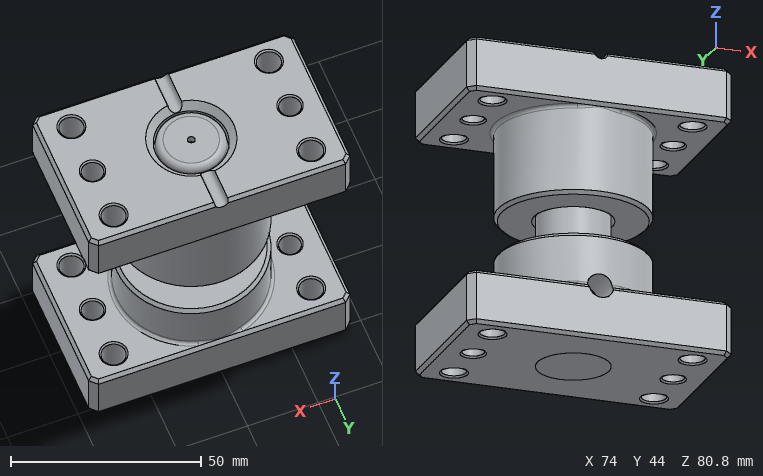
import cadquery as cq

plate_length = 74.0
plate_width = 44.0
plate_thickness = 15.0
total_height = 80.8
corner_chamfer = 2.0
edge_chamfer = 1.0

boss_diameter = 41.95
boss_fillet = 1.0
upper_boss_height = 24.9
lower_boss_height = 14.9

pin_diameter = 20.0
pin_length = 80.1
pin_nose_diameter = 18.4
pin_taper_length = 5.0
pin_nose_fillet = 2.1
center_hole_diameter = 1.9
center_hole_depth = 2.4
groove_floor_width = 5.5
groove_depth = 1.0

hole_spacing_x = 55.9
hole_spacing_y = 30.1
corner_hole_diameter = 6.6
middle_hole_diameter = 6.0
hole_chamfer = 0.5

boss_bore_chamfer = 1.0
top_bore_chamfer = 2.0
top_slot_width = 3.9

cross_hole_diameter = 6.95


def make_plate():
    """Plate resting on Z = 0 with chamfered corners, edges and mounting holes."""
    plate = (
        cq.Workplane("XY")
        .box(plate_length, plate_width, plate_thickness, centered=(True, True, False))
        .edges("|Z")
        .chamfer(corner_chamfer)
        .faces("<Z or >Z")
        .chamfer(edge_chamfer)
    )
    for x in (-hole_spacing_x / 2, hole_spacing_x / 2):
        plate = plate.cut(make_hole_tool(x, 0, middle_hole_diameter))
        for y in (-hole_spacing_y / 2, hole_spacing_y / 2):
            plate = plate.cut(make_hole_tool(x, y, corner_hole_diameter))
    return plate


def make_hole_tool(x, y, diameter):
    """Cutter for a through hole that is chamfered at both ends."""
    radius = diameter / 2
    profile = [
        (0, 0),
        (radius + hole_chamfer, 0),
        (radius, hole_chamfer),
        (radius, plate_thickness - hole_chamfer),
        (radius + hole_chamfer, plate_thickness),
        (0, plate_thickness),
    ]
    return cq.Workplane("XZ").polyline(profile).close().revolve(360, (0, 0), (0, 1)).translate((x, y, 0))


def make_flanged_boss(boss_height):
    """Plate with a round boss on top, filleted at its foot, and a bore for the pin."""
    boss = (
        cq.Workplane("XY")
        .circle(boss_diameter / 2)
        .extrude(plate_thickness + boss_height)
        .faces(">Z")
        .chamfer(edge_chamfer)
    )
    flanged = make_plate().union(boss)
    foot = cq.selectors.BoxSelector(
        (-boss_diameter, -boss_diameter, plate_thickness - edge_chamfer / 2),
        (boss_diameter, boss_diameter, plate_thickness + edge_chamfer / 2),
        boundingbox=True,
    )
    largest_circle = cq.selectors.RadiusNthSelector(-1)
    flanged = flanged.edges("%CIRCLE").edges(foot).edges(largest_circle).fillet(boss_fillet)
    bore = cq.Workplane("XY").circle(pin_diameter / 2).extrude(plate_thickness + boss_height)
    mouth = make_mouth_cone(plate_thickness + boss_height, boss_bore_chamfer)
    return flanged.cut(bore).cut(mouth)


def make_mouth_cone(top, size):
    """Cutter for a 45 degree chamfer around the pin bore, widening up to the height 'top'."""
    radius = pin_diameter / 2
    base = cq.Vector(0, 0, top - size)
    return cq.Workplane("XY").add(cq.Solid.makeCone(radius, radius + size, size, pnt=base))


def make_lower_plate():
    """Lower plate with a cross hole from the -Y side, level with the plate's top face."""
    cross_hole = (
        cq.Workplane("XZ", origin=(0, 0, plate_thickness))
        .circle(cross_hole_diameter / 2)
        .extrude(plate_width / 2)
    )
    return make_flanged_boss(lower_boss_height).cut(cross_hole)


def make_upper_plate():
    """Upper plate, boss downwards, with a chamfered bore and a round-bottomed slot across its top."""
    plate = (
        make_flanged_boss(upper_boss_height)
        .rotate((0, 0, 0), (1, 0, 0), 180)
        .translate((0, 0, total_height))
    )
    slot = (
        cq.Workplane("XZ", origin=(0, 0, total_height))
        .circle(top_slot_width / 2)
        .extrude(plate_width / 2, both=True)
    )
    return plate.cut(make_mouth_cone(total_height, top_bore_chamfer)).cut(slot)


def make_pin():
    """Pin with a tapered, rounded upper end, a blind center hole and a groove behind the cross hole."""
    radius = pin_diameter / 2
    floor_radius = radius - groove_depth
    half_floor = groove_floor_width / 2
    half_mouth = half_floor + groove_depth
    profile = (
        cq.Workplane("XZ")
        .lineTo(radius, 0)
        .lineTo(radius, plate_thickness - half_mouth)
        .lineTo(floor_radius, plate_thickness - half_floor)
        .lineTo(floor_radius, plate_thickness + half_floor)
        .lineTo(radius, plate_thickness + half_mouth)
        .lineTo(radius, pin_length - pin_taper_length)
        .lineTo(pin_nose_diameter / 2, pin_length)
        .lineTo(0, pin_length)
        .close()
    )
    pin = profile.revolve(360, (0, 0), (0, 1)).faces(">Z").edges().fillet(pin_nose_fillet)
    return pin.cut(make_center_drill())


def make_center_drill():
    """Cutter for the blind center hole, ending in a 90 degree cone."""
    radius = center_hole_diameter / 2
    floor = pin_length - center_hole_depth
    profile = (
        cq.Workplane("XZ")
        .moveTo(0, pin_length)
        .lineTo(radius, pin_length)
        .lineTo(radius, floor)
        .lineTo(0, floor - radius)
        .close()
    )
    return profile.revolve(360, (0, 0), (0, 1))


lower_plate = make_lower_plate()
upper_plate = make_upper_plate()
pin = make_pin()
result = cq.Compound.makeCompound([lower_plate.val(), upper_plate.val(), pin.val()])